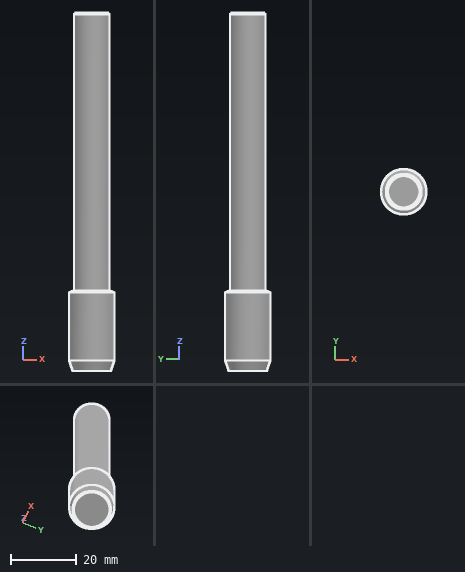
import cadquery as cq

total_length = 110.0
rod_diameter = 11.0
rod_chamfer = 0.7

sleeve_diameter = 14.0
sleeve_shoulder_height = 24.1
shoulder_rise = 0.7
base_taper_height = 3.3
base_diameter = 11.8

rod_radius = rod_diameter / 2
sleeve_radius = sleeve_diameter / 2
base_radius = base_diameter / 2
sleeve_length = sleeve_shoulder_height + shoulder_rise


def make_rod():
    """Round rod through the sleeve, chamfered at its free upper end."""
    rod = cq.Workplane("XY").circle(rod_radius).extrude(total_length)
    return rod.faces(">Z").chamfer(rod_chamfer)


def make_sleeve():
    """Sleeve around the rod, with a conical shoulder and a tapered base."""
    return (
        cq.Workplane("XZ")
        .moveTo(rod_radius, 0)
        .lineTo(base_radius, 0)
        .lineTo(sleeve_radius, base_taper_height)
        .lineTo(sleeve_radius, sleeve_shoulder_height)
        .lineTo(rod_radius, sleeve_length)
        .close()
        .revolve(360, (0, 0, 0), (0, 1, 0))
    )


rod = make_rod()
sleeve = make_sleeve()
result = cq.Compound.makeCompound([rod.val(), sleeve.val()])